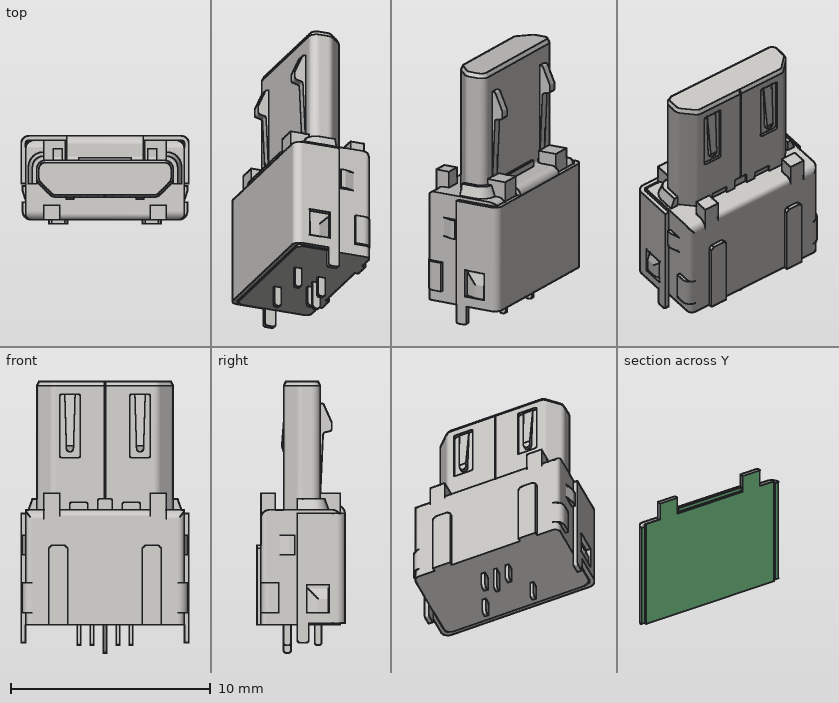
import cadquery as cq
import math


overlap = 0.03

body_half_width = 3.97
body_depth = 3.98
body_height = 5.75
body_front_corner_radius = 0.3
body_back_corner_radius = 0.4
front_edge_radius = 0.3
front_edge_end_radius = 0.44
back_edge_radius = 0.4

post_top = 6.6
post_foot = 5.18
post_outer = 3.06
front_post_inner = 2.26
front_post_depth = 0.73
back_post_inner = 2.0
back_post_front = 2.98

plug_half_width = 3.41
plug_front = 1.14
plug_back = 2.98
plug_top = 12.19
plug_slant = 0.78
plug_corner_radius = 0.42
plug_tip_height = 0.22
plug_tip_inset = 0.11
seam_width = 0.05
seam_depth = 0.11

slot_center = 1.75
slot_width = 1.03
slot_bottom = 8.36
slot_top = 11.55
slot_depth = 0.14
slot_corner_radius = 0.11
spring_root_width = 0.52
spring_tip_width = 0.35
spring_tip = 8.66
spring_crest = 8.96
spring_root_height = 0.03
spring_bump = 0.1

recess_depth = 0.11
recess_corner_radius = 0.11
middle_recess_width = 0.73
middle_recess_top = 6.31
side_recess_width = 0.91
side_recess_center = 1.32
side_recess_top = 6.13

latch_center = 2.37
latch_width = 0.46
latch_top = 11.08
latch_crest = 3.56
latch_crest_top = 10.12
latch_crest_bottom = 9.71
latch_neck = 3.13
latch_neck_top = 9.62
latch_foot = 2.99
latch_rounding = 0.14

collar_top = 6.31
collar_front = 1.82
collar_top_offset = 0.22
collar_foot_offset = 0.42
collar_foot_radius = 0.76

cover_half_width = 4.2
cover_sheet = 0.23
cover_back = body_depth + cover_sheet
cover_front = 1.82
cover_bottom = 0.08
cover_top = 5.58
cover_corner_radius = 0.4
leg_back = 2.41
leg_bottom = -0.9
leg_tip_radius = 0.14
window_front = 2.31
window_back = 3.43
window_bottom = 0.6
window_top = 2.0
wedge_clearance = 0.04
wedge_top = 1.82
wedge_face_front = 2.87
wedge_face_top = 1.3
wedge_height = 0.16
flap_half_width = 1.92
flap_top = body_height + cover_sheet
flap_bend_radius = 0.42
flap_fillet_radius = 0.2
strip_half_width = 1.32
strip_thickness = 0.12

catch_height = 0.16
upper_catch_front = 0.97
upper_catch_crest = 1.47
upper_catch_back = 1.7
upper_catch_bottom = 3.51
upper_catch_top = 4.49
lower_catch_back = 0.9
lower_catch_bottom = 0.6
lower_catch_top = 2.11
rib_inner = 1.88
rib_outer = 2.82
rib_top = 3.98
rib_height = 0.19
rib_chamfer = 0.15

pin_pitch = 0.65
pin_width = 0.19
pin_length = 1.02
middle_pin_width = 0.16
middle_pin_length = 1.41
front_pin_span = (1.13, 1.52)
back_pin_span = (2.69, 3.05)
pin_tip_rounding = 0.4


def block(x_span, y_span, z_span):
    """Box given by its start and end along each axis."""
    size = [end - start for start, end in (x_span, y_span, z_span)]
    corner = (x_span[0], y_span[0], z_span[0])
    return cq.Workplane("XY").box(*size, centered=False).translate(corner)


def both_sides(solid):
    """The solid together with its mirror image about X = 0."""
    return solid.union(solid.mirror("YZ"))


def extrude_x(outline, x_start, x_end):
    """Closed (y, z) outline extruded along X."""
    return cq.Workplane("YZ", origin=(x_start, 0, 0)).polyline(outline).close().extrude(x_end - x_start)


def extrude_z(outline, z_start, z_end):
    """Closed (x, y) outline extruded along Z."""
    return cq.Workplane("XY", origin=(0, 0, z_start)).polyline(outline).close().extrude(z_end - z_start)


def make_body():
    span_x = (-body_half_width, body_half_width)
    body = block(span_x, (0, body_depth), (0, body_height))
    body = body.edges("|Z and <Y").fillet(body_front_corner_radius)
    body = body.edges("|Z and >Y").fillet(body_back_corner_radius)
    body = body.cut(edge_waste(0, 1, front_edge_radius, front_post_inner))
    body = body.cut(both_sides(edge_waste(0, 1, front_edge_end_radius, body_half_width, post_outer)))
    return body.cut(edge_waste(body_depth, -1, back_edge_radius, body_half_width))


def edge_waste(edge_y, inward, radius, x_end, x_start=None):
    """Material removed to round a stretch of the roof edge lying at edge_y."""
    x_start = -x_end if x_start is None else x_start
    arc_middle = radius * (1 - math.sqrt(0.5))
    return (
        cq.Workplane("YZ", origin=(x_start, 0, 0))
        .moveTo(edge_y, body_height)
        .lineTo(edge_y, body_height - radius)
        .threePointArc(
            (edge_y + inward * arc_middle, body_height - arc_middle),
            (edge_y + inward * radius, body_height),
        )
        .close()
        .extrude(x_end - x_start)
    )


def make_posts():
    height = (post_foot, post_top)
    front = block((front_post_inner, post_outer), (0, front_post_depth), height)
    back = block((back_post_inner, post_outer), (back_post_front, body_depth), height)
    return both_sides(front.union(back))


def plug_prism(z_start, height, taper=0.0):
    """Prism with the plug outline, narrowing by the taper angle."""
    outline = [
        (-plug_half_width, plug_back),
        (-plug_half_width, plug_front + plug_slant),
        (-plug_half_width + plug_slant, plug_front),
        (plug_half_width - plug_slant, plug_front),
        (plug_half_width, plug_front + plug_slant),
        (plug_half_width, plug_back),
    ]
    sharp = cq.Workplane("XY").polyline(outline).close().extrude(height)
    wire = sharp.edges("|Z").fillet(plug_corner_radius).faces("<Z").wires().val()
    section = cq.Workplane("XY").add(wire).toPending()
    return section.extrude(height, taper=taper).translate((0, 0, z_start))


def make_plug():
    shoulder = plug_top - plug_tip_height
    plug = plug_prism(body_height - overlap, shoulder - body_height + overlap)
    tip_angle = math.degrees(math.atan(plug_tip_inset / plug_tip_height))
    plug = plug.union(plug_prism(shoulder, plug_tip_height, taper=tip_angle))
    seam_x = (-seam_width / 2, seam_width / 2)
    plug = plug.cut(block(seam_x, (plug_front, plug_front + seam_depth), (middle_recess_top, plug_top)))
    recesses = [
        (-side_recess_center, side_recess_width, side_recess_top),
        (0, middle_recess_width, middle_recess_top),
        (side_recess_center, side_recess_width, side_recess_top),
    ]
    for center, width, top in recesses:
        x_span = (center - width / 2, center + width / 2)
        recess = block(x_span, (plug_front, plug_front + recess_depth), (body_height, top))
        plug = plug.cut(recess.edges("|Y and >Z").fillet(recess_corner_radius))
    slot = block(
        (slot_center - slot_width / 2, slot_center + slot_width / 2),
        (plug_front, plug_front + slot_depth),
        (slot_bottom, slot_top),
    )
    plug = plug.cut(both_sides(slot.edges("|Y").fillet(slot_corner_radius)))
    return plug.union(both_sides(make_contact_spring()))


def make_contact_spring():
    """Tapered spring that rises out of its slot towards the lower tip."""
    floor = plug_front + slot_depth
    crest = plug_front - spring_bump
    tip_radius = spring_tip_width / 2
    side = extrude_x(
        [
            (floor + overlap, slot_top),
            (floor - spring_root_height, slot_top),
            (crest, spring_crest),
            (plug_front, spring_tip),
            (floor + overlap, spring_tip),
        ],
        slot_center - slot_width / 2,
        slot_center + slot_width / 2,
    )
    front = (
        cq.Workplane("XZ")
        .moveTo(slot_center - spring_root_width / 2, slot_top)
        .lineTo(slot_center - tip_radius, spring_tip + tip_radius)
        .threePointArc((slot_center, spring_tip), (slot_center + tip_radius, spring_tip + tip_radius))
        .lineTo(slot_center + spring_root_width / 2, slot_top)
        .close()
        .extrude(-(floor + overlap))
    )
    return side.intersect(front)


def make_latches():
    """Hooked spring arms leaning out of the plug back."""
    root = plug_back - overlap
    outline = [
        (root, latch_top),
        (latch_neck, latch_top),
        (latch_crest, latch_crest_top),
        (latch_crest, latch_crest_bottom),
        (latch_neck, latch_neck_top),
        (latch_foot, post_top),
        (root, post_top),
    ]
    arm = extrude_x(outline, latch_center - latch_width / 2, latch_center + latch_width / 2)
    return both_sides(arm.edges("|X and (not <Y) and (not <Z)").fillet(latch_rounding))


def make_collar():
    height = collar_top - body_height
    flare = math.degrees(math.atan((collar_foot_offset - collar_top_offset) / height))
    half_width = plug_half_width + collar_foot_offset
    foot = cq.Sketch().rect(2 * half_width, 2 * (plug_back + collar_foot_offset))
    foot = foot.vertices().fillet(collar_foot_radius)
    collar = cq.Workplane("XY", origin=(0, 0, body_height)).placeSketch(foot).extrude(height, taper=flare)
    limits = block(
        (back_post_inner, body_half_width),
        (collar_front, body_depth),
        (body_height, collar_top),
    )
    plug_clearance = block(
        (back_post_inner, plug_half_width),
        (collar_front, plug_back - plug_corner_radius),
        (body_height, collar_top),
    )
    return both_sides(collar.intersect(limits).cut(plug_clearance))


def make_cover():
    """Sheet folded around the back and sides, with a leg at each front edge."""
    def wrap(half_width, back, radius):
        shape = block((-half_width, half_width), (cover_front, back), (cover_bottom, cover_top))
        return shape.edges("|Z and >Y").fillet(radius)

    outer = wrap(cover_half_width, cover_back, cover_corner_radius)
    cover = outer.cut(wrap(body_half_width, body_depth, cover_corner_radius - cover_sheet))
    sheet_x = (body_half_width, cover_half_width)
    leg = block(sheet_x, (cover_front, leg_back), (leg_bottom, cover_bottom))
    leg = leg.edges("|X and <Z").fillet(leg_tip_radius)
    window = block(sheet_x, (window_front, window_back), (window_bottom, window_top))
    return cover.union(both_sides(leg)).cut(both_sides(window))


def make_wedge():
    """Retaining wedge on the housing side, inside the cover window."""
    x_base = body_half_width
    x_crest = x_base + wedge_height
    y_span = (window_front + wedge_clearance, window_back - wedge_clearance)
    sloped_front = extrude_z(
        [
            (x_base - overlap, y_span[0]),
            (x_base, y_span[0]),
            (x_crest, wedge_face_front),
            (x_crest, y_span[1]),
            (x_base - overlap, y_span[1]),
        ],
        window_bottom,
        wedge_top,
    )
    sloped_top = (
        cq.Workplane("XZ", origin=(0, y_span[1], 0))
        .moveTo(x_base - overlap, window_bottom)
        .lineTo(x_crest, window_bottom)
        .lineTo(x_crest, wedge_face_top)
        .lineTo(x_base, wedge_top)
        .lineTo(x_base - overlap, wedge_top)
        .close()
        .extrude(y_span[1] - y_span[0])
    )
    return sloped_front.intersect(sloped_top)


def make_flap():
    """Top of the cover bent over the roof and curving up into the plug back."""
    inner_radius = flap_bend_radius - cover_sheet
    center = (cover_back - flap_bend_radius, flap_top - flap_bend_radius)
    diagonal = math.sqrt(0.5)
    fillet_rise = flap_fillet_radius * (1 - diagonal)
    flap = (
        cq.Workplane("YZ", origin=(-flap_half_width, 0, 0))
        .moveTo(cover_back, cover_top - overlap)
        .lineTo(cover_back, center[1])
        .threePointArc(
            (center[0] + flap_bend_radius * diagonal, center[1] + flap_bend_radius * diagonal),
            (center[0], flap_top),
        )
        .lineTo(plug_back + flap_fillet_radius, flap_top)
        .threePointArc(
            (plug_back + fillet_rise, flap_top + fillet_rise),
            (plug_back, flap_top + flap_fillet_radius),
        )
        .lineTo(plug_back, body_height)
        .lineTo(center[0], body_height)
        .threePointArc(
            (center[0] + inner_radius * diagonal, center[1] + inner_radius * diagonal),
            (body_depth, center[1]),
        )
        .lineTo(body_depth, cover_top - overlap)
        .close()
        .extrude(2 * flap_half_width)
    )
    strip = block(
        (-strip_half_width, strip_half_width),
        (plug_back, plug_back + strip_thickness),
        (flap_top, collar_top),
    )
    return flap.union(strip)


def make_catches():
    """Ramped upper catch and corner-wrapping lower catch on each side."""
    base = body_half_width
    crest = base + catch_height
    upper = extrude_z(
        [
            (base - overlap, upper_catch_front),
            (base, upper_catch_front),
            (crest, upper_catch_crest),
            (crest, upper_catch_back),
            (base - overlap, upper_catch_back),
        ],
        upper_catch_bottom,
        upper_catch_top,
    )
    corner_radius = catch_height + body_front_corner_radius
    lower = block(
        (base - corner_radius, crest),
        (0, lower_catch_back),
        (lower_catch_bottom, lower_catch_top),
    )
    lower = lower.edges("|Z and >X and <Y").fillet(corner_radius)
    return both_sides(upper.union(lower))


def make_ribs():
    rib = block((rib_inner, rib_outer), (-rib_height, 0), (0, rib_top))
    return both_sides(rib.edges("|Y and >Z").chamfer(rib_chamfer))


def make_pin(center_x, width, y_span, length):
    """Terminal with a rounded tip."""
    pin = block((center_x - width / 2, center_x + width / 2), y_span, (-length, overlap))
    return pin.edges("|X and <Z").fillet(pin_tip_rounding * (y_span[1] - y_span[0]))


def make_pins():
    pins = make_pin(0, middle_pin_width, front_pin_span, middle_pin_length)
    pins = pins.union(both_sides(make_pin(pin_pitch, pin_width, front_pin_span, pin_length)))
    return pins.union(both_sides(make_pin(2 * pin_pitch, pin_width, back_pin_span, pin_length)))


result = make_body()
for feature in (
    make_posts(),
    make_plug(),
    make_collar(),
    make_cover(),
    both_sides(make_wedge()),
    make_flap(),
    make_latches(),
    make_catches(),
    make_ribs(),
    make_pins(),
):
    result = result.union(feature)